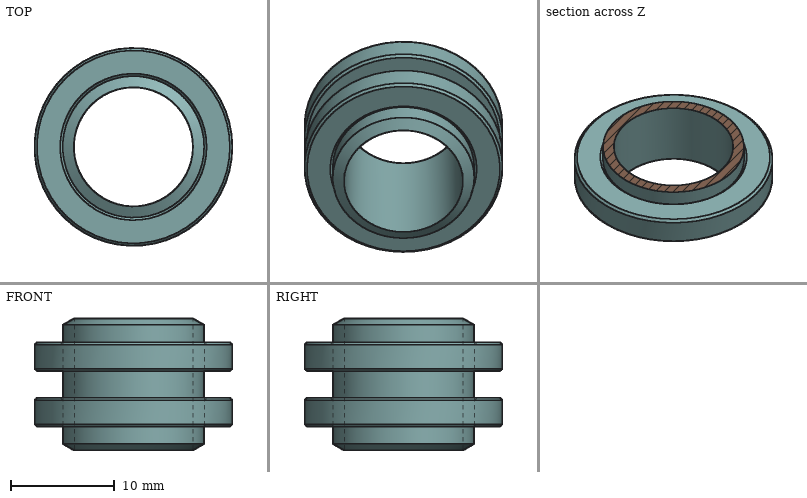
import cadquery as cq
import math

sleeve_height = 12.7
sleeve_radius = 6.8
bore_radius = 5.72
taper_angle = 30.0
taper_height = (sleeve_radius - bore_radius) * math.tan(math.radians(taper_angle))

ring_radius = 9.52
ring_thickness = 2.8
ring_chamfer = 0.25
ring_pitch = 5.33


def make_sleeve():
    """Revolve the wall section of the sleeve about Z."""
    half_height = sleeve_height / 2
    shoulder = half_height - taper_height
    return (
        cq.Workplane("XZ")
        .moveTo(bore_radius, -half_height)
        .lineTo(sleeve_radius, -shoulder)
        .lineTo(sleeve_radius, shoulder)
        .lineTo(bore_radius, half_height)
        .close()
        .revolve(360, (0, 0, 0), (0, 1, 0))
    )


def make_ring(center_z):
    """Flat ring fitted on the sleeve, with all four circular edges chamfered."""
    return (
        cq.Workplane("XY", origin=(0, 0, center_z - ring_thickness / 2))
        .circle(ring_radius)
        .circle(sleeve_radius)
        .extrude(ring_thickness)
        .faces("<Z or >Z")
        .edges()
        .chamfer(ring_chamfer)
    )


sleeve = make_sleeve()
rings = [make_ring(side * ring_pitch / 2) for side in (-1, 1)]

result = cq.Compound.makeCompound([sleeve.val(), *(ring.val() for ring in rings)])